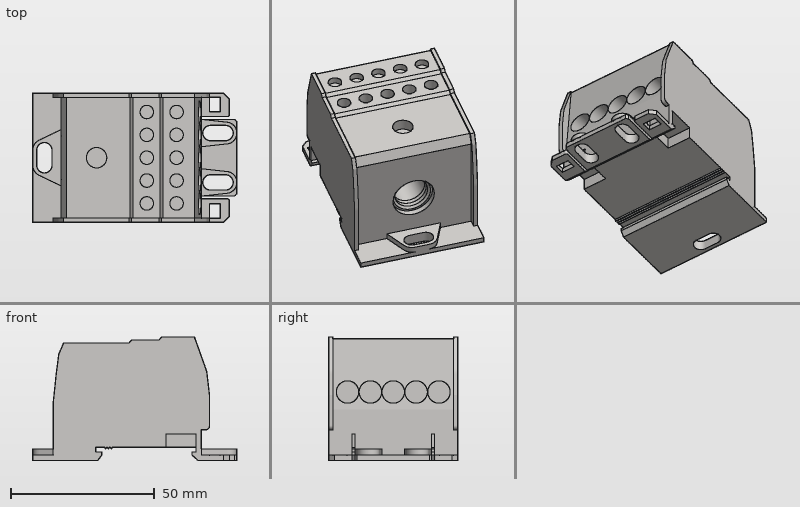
import cadquery as cq
import math

LENGTH = 71.0
WIDTH = 45.0
HEIGHT = 43.0

CHEEK_THICKNESS = 1.5
CORE_WIDTH = WIDTH - 2 * CHEEK_THICKNESS
CORE_DROP = 0.65
STEPS_RISE = 2.05
FRONT_ROOF = HEIGHT - STEPS_RISE
MIDDLE_ROOF = HEIGHT - STEPS_RISE / 2
MIDDLE_STEP_X = 33.5
REAR_STEP_X = 43.95
CHEEK_STEP_RUN = 0.9
CORE_STEP_RUN = 1.15
CORE_STEP_OFFSET = 0.3
SHOULDER_Z = 37.0

FOOT_THICKNESS = 1.9
PAD_TOP = 4.05
RAIL_TOP = 4.55
LIP_TOP = 3.05
RAIL_FRONT = 22.0
POST_FRONT = 56.8
POST_BACK = 58.7
FRONT_HOOK_REACH = 2.05
REAR_HOOK_REACH = 1.4
FRONT_HOOK_RUN = 1.4
REAR_HOOK_RUN = 2.1
TOOTH_START = 25.0
TOOTH_PITCH = 1.0
TOOTH_WIDTH = 0.7
TOOTH_HEIGHT = 0.6
TOOTH_COUNT = 3

CHEEK_FRONT = 7.1
CHEEK_BACK = 61.55
FRONT_BEND_START = (CHEEK_FRONT, 19.9)
FRONT_BEND_MIDDLE = (7.2, 21.0)
FRONT_BEND_END = (7.25, 21.6)
FRONT_FLANK = (8.1, 29.8)
FRONT_SHOULDER = (9.0, SHOULDER_Z)
CHEEK_ROOF_FRONT = 10.7
REAR_BEND_START = (60.3, 31.9)
REAR_BEND_MIDDLE = (60.55, 30.95)
REAR_BEND_END = (60.7, 30.0)
REAR_FLANK_FOOT = 22.7
CHEEK_BOTTOM = 10.65
CHEEK_FILLET = 1.4

CORE_FRONT = 9.9
CORE_ROOF_FRONT = 11.7
ROOF_BACK = 56.3
CORE_BACK_KINK = 17.75

CENTRE_FOOT_HALF = 13.35
SPRING_FOOT_INNER = 14.3
SPRING_FOOT_END = 68.45
SPRING_FOOT_CHAMFER = 2.05
FOOT_CORNER = 0.8
POCKET_FRONT = 46.35
POCKET_TOP = 9.2
WINDOW_FRONT = 61.55
WINDOW_LENGTH = 3.6
WINDOW_WIDTH = 5.0

SLOT_LENGTH = 10.5
SLOT_WIDTH = 5.25
FRONT_SLOT_X = 4.05
FRONT_PAD_TIP_HALF = 5.05
FRONT_PAD_ROOT_HALF = 9.8
FRONT_PAD_FILLET = 3.9
REAR_SLOT_X = 64.5
REAR_SLOT_Y = 8.6
REAR_PAD_TIP_HALF = 3.4
REAR_PAD_ROOT_HALF = CENTRE_FOOT_HALF - REAR_SLOT_Y
REAR_PAD_FILLET = 3.7

SCREW_COLUMNS = 5
SCREW_PITCH = 7.95
SCREW_RADIUS = 2.35
REAR_SCREW_X = 50.05
REAR_SCREW_DEPTH = 2.35
MIDDLE_SCREW_X = 39.7
MAIN_SCREW_X = 22.2
MAIN_SCREW_RADIUS = 3.55
SCREW_DEPTH = 4.05

INLET_Z = 18.0
INLET_RADIUS = 7.5
INLET_DEPTH = 2.1
FUNNEL_RADIUS = 6.8
FUNNEL_LENGTH = 0.7
LIP_RADIUS = 5.95
LIP_LENGTH = 1.55
BORE_RADIUS = 5.8
BORE_CHAMFER = 1.4
BORE_LENGTH = 12.8
DRILL_POINT_ANGLE = 118.0
OUTLET_Z = 23.85
OUTLET_RADIUS = 3.9
OUTLET_DEPTH = 10.65


def extrude_across(outline, width):
    """Extrude an XZ outline symmetrically about Y = 0."""
    return outline.close().extrude(width / 2, both=True)


def block(x_min, x_max, y_min, y_max, z_min, z_max):
    """Axis-aligned box given by its limits."""
    size = (x_max - x_min, y_max - y_min, z_max - z_min)
    return cq.Workplane("XY").box(*size, centered=False).translate((x_min, y_min, z_min))


def full_profile():
    """Side outline of the cheeks, feet and rail recess, extruded over the whole width."""
    outline = (
        cq.Workplane("XZ")
        .moveTo(0, 0)
        .lineTo(0, FOOT_THICKNESS)
        .lineTo(CHEEK_FRONT, FOOT_THICKNESS)
        .lineTo(*FRONT_BEND_START)
        .threePointArc(FRONT_BEND_MIDDLE, FRONT_BEND_END)
        .lineTo(*FRONT_FLANK)
        .lineTo(*FRONT_SHOULDER)
        .lineTo(CHEEK_ROOF_FRONT, FRONT_ROOF)
        .lineTo(MIDDLE_STEP_X, FRONT_ROOF)
        .lineTo(MIDDLE_STEP_X + CHEEK_STEP_RUN, MIDDLE_ROOF)
        .lineTo(REAR_STEP_X, MIDDLE_ROOF)
        .lineTo(REAR_STEP_X + CHEEK_STEP_RUN, HEIGHT)
        .lineTo(ROOF_BACK, HEIGHT)
        .lineTo(*REAR_BEND_START)
        .threePointArc(REAR_BEND_MIDDLE, REAR_BEND_END)
        .lineTo(CHEEK_BACK, REAR_FLANK_FOOT)
        .lineTo(CHEEK_BACK, CHEEK_BOTTOM + CHEEK_FILLET)
        .radiusArc((CHEEK_BACK - CHEEK_FILLET, CHEEK_BOTTOM), CHEEK_FILLET)
        .lineTo(POST_BACK, CHEEK_BOTTOM)
        .lineTo(POST_BACK, FOOT_THICKNESS)
        .lineTo(LENGTH, FOOT_THICKNESS)
        .lineTo(LENGTH, 0)
        .lineTo(POST_FRONT - REAR_HOOK_REACH + REAR_HOOK_RUN, 0)
        .lineTo(POST_FRONT - REAR_HOOK_REACH, FOOT_THICKNESS)
        .lineTo(POST_FRONT - REAR_HOOK_REACH, LIP_TOP)
        .lineTo(POST_FRONT, LIP_TOP)
        .lineTo(POST_FRONT, RAIL_TOP)
    )
    for index in reversed(range(TOOTH_COUNT)):
        tooth_x = TOOTH_START + index * TOOTH_PITCH
        outline = (
            outline.lineTo(tooth_x + TOOTH_WIDTH, RAIL_TOP)
            .lineTo(tooth_x + TOOTH_WIDTH / 2, RAIL_TOP - TOOTH_HEIGHT)
            .lineTo(tooth_x, RAIL_TOP)
        )
    outline = (
        outline.lineTo(RAIL_FRONT, RAIL_TOP)
        .lineTo(RAIL_FRONT, LIP_TOP)
        .lineTo(RAIL_FRONT + FRONT_HOOK_REACH, LIP_TOP)
        .lineTo(RAIL_FRONT + FRONT_HOOK_REACH, FOOT_THICKNESS)
        .lineTo(RAIL_FRONT + FRONT_HOOK_REACH - FRONT_HOOK_RUN, 0)
    )
    return extrude_across(outline, WIDTH)


def core_profile():
    """Side outline of the core above the feet, between the cheeks."""
    middle_step = MIDDLE_STEP_X + CORE_STEP_OFFSET
    rear_step = REAR_STEP_X + CORE_STEP_OFFSET
    outline = (
        cq.Workplane("XZ")
        .moveTo(CORE_FRONT, FOOT_THICKNESS)
        .lineTo(CORE_FRONT, SHOULDER_Z)
        .lineTo(CORE_ROOF_FRONT, FRONT_ROOF - CORE_DROP)
        .lineTo(middle_step, FRONT_ROOF - CORE_DROP)
        .lineTo(middle_step + CORE_STEP_RUN, MIDDLE_ROOF - CORE_DROP)
        .lineTo(rear_step, MIDDLE_ROOF - CORE_DROP)
        .lineTo(rear_step + CORE_STEP_RUN, HEIGHT - CORE_DROP)
        .lineTo(ROOF_BACK, HEIGHT - CORE_DROP)
        .lineTo(POST_BACK, CORE_BACK_KINK)
        .lineTo(POST_BACK, FOOT_THICKNESS)
    )
    return extrude_across(outline, CORE_WIDTH)


def housing():
    """Full-width profile with the space around the core removed between the cheeks."""
    half = CORE_WIDTH / 2
    clearance = block(0, LENGTH, -half, half, FOOT_THICKNESS, HEIGHT).cut(core_profile())
    return full_profile().cut(clearance)


def mirrored(solid):
    """The solid together with its mirror image about Y = 0."""
    return solid.union(solid.mirror("XZ"))


def rear_foot_cuts():
    """Pockets, slits, windows and corner cuts that shape the three rear feet."""
    side = WIDTH / 2
    pocket = block(POCKET_FRONT, POST_FRONT, CENTRE_FOOT_HALF, side, LIP_TOP, POCKET_TOP)
    slit_front = POST_FRONT - REAR_HOOK_REACH
    slit = block(slit_front, LENGTH, CENTRE_FOOT_HALF, SPRING_FOOT_INNER, 0, POCKET_TOP)
    window_outer = CORE_WIDTH / 2
    window_inner = window_outer - WINDOW_WIDTH
    window_back = WINDOW_FRONT + WINDOW_LENGTH
    window = block(WINDOW_FRONT, window_back, window_inner, window_outer, 0, FOOT_THICKNESS)
    spring_foot = block(CHEEK_BACK, SPRING_FOOT_END, SPRING_FOOT_INNER, side, 0, FOOT_THICKNESS)
    spring_foot = spring_foot.edges("|Z and >X and >Y").chamfer(SPRING_FOOT_CHAMFER)
    spring_foot = spring_foot.edges("|Z and >X and <Y").fillet(FOOT_CORNER)
    spring_trim = block(CHEEK_BACK, LENGTH, SPRING_FOOT_INNER, side, 0, FOOT_THICKNESS).cut(spring_foot)
    return mirrored(pocket.union(slit).union(window).union(spring_trim))


def centre_foot_trim():
    """Material outside the bevelled rear corners of the centre foot."""
    blank = block(POST_BACK, LENGTH, -CENTRE_FOOT_HALF, CENTRE_FOOT_HALF, 0, FOOT_THICKNESS)
    return blank.cut(blank.edges("|Z and >X").chamfer(FOOT_CORNER))


def pad(root_x, tip_x, centre_y, root_half, tip_half, fillet):
    """Tapered raised pad with a rounded tip, standing on a foot."""
    outline = [
        (root_x, centre_y - root_half),
        (tip_x, centre_y - tip_half),
        (tip_x, centre_y + tip_half),
        (root_x, centre_y + root_half),
    ]
    tip_edges = ">X" if tip_x > root_x else "<X"
    return (
        cq.Workplane("XY", origin=(0, 0, FOOT_THICKNESS))
        .polyline(outline)
        .close()
        .extrude(PAD_TOP - FOOT_THICKNESS)
        .edges("|Z and " + tip_edges)
        .fillet(fillet)
    )


def mounting_slots():
    """Through slots: one across the front foot and two along the centre rear foot."""
    front = (
        cq.Workplane("XY")
        .center(FRONT_SLOT_X, 0)
        .slot2D(SLOT_LENGTH, SLOT_WIDTH, 90)
        .extrude(PAD_TOP)
    )
    rear = (
        cq.Workplane("XY")
        .pushPoints([(REAR_SLOT_X, -REAR_SLOT_Y), (REAR_SLOT_X, REAR_SLOT_Y)])
        .slot2D(SLOT_LENGTH, SLOT_WIDTH)
        .extrude(PAD_TOP)
    )
    return front.union(rear)


def row_positions():
    """Y positions of one row of outlets or screws."""
    middle = (SCREW_COLUMNS - 1) / 2
    return [(index - middle) * SCREW_PITCH for index in range(SCREW_COLUMNS)]


def screw_holes():
    """Blind clamping screw holes, one large and two rows of small ones."""
    holes = (
        cq.Workplane("XY", origin=(MAIN_SCREW_X, 0, FRONT_ROOF - CORE_DROP))
        .circle(MAIN_SCREW_RADIUS)
        .extrude(-SCREW_DEPTH)
    )
    rows = [
        (MIDDLE_SCREW_X, MIDDLE_ROOF - CORE_DROP, SCREW_DEPTH),
        (REAR_SCREW_X, HEIGHT - CORE_DROP, REAR_SCREW_DEPTH),
    ]
    for row_x, roof_z, depth in rows:
        row = (
            cq.Workplane("XY", origin=(row_x, 0, roof_z))
            .pushPoints([(0, y) for y in row_positions()])
            .circle(SCREW_RADIUS)
            .extrude(-depth)
        )
        holes = holes.union(row)
    return holes


def inlet():
    """Stepped inlet: counterbore, funnel, lip, then a chamfered bore with a drill point."""
    funnel_x = CORE_FRONT + INLET_DEPTH
    lip_x = funnel_x + FUNNEL_LENGTH
    bore_x = lip_x + LIP_LENGTH
    bore_end = bore_x + BORE_LENGTH
    point_length = BORE_RADIUS / math.tan(math.radians(DRILL_POINT_ANGLE / 2))
    half_section = [
        (CORE_FRONT, 0),
        (CORE_FRONT, INLET_RADIUS),
        (funnel_x, INLET_RADIUS),
        (funnel_x, FUNNEL_RADIUS),
        (lip_x, LIP_RADIUS),
        (bore_x, LIP_RADIUS),
        (bore_x, BORE_RADIUS + BORE_CHAMFER),
        (bore_x + BORE_CHAMFER, BORE_RADIUS),
        (bore_end, BORE_RADIUS),
        (bore_end + point_length, 0),
    ]
    return (
        cq.Workplane("XZ", origin=(0, 0, INLET_Z))
        .polyline(half_section)
        .close()
        .revolve(360, (0, 0, 0), (1, 0, 0))
    )


def outlets():
    """Row of blind outlet bores in the leaning rear face."""
    return (
        cq.Workplane("YZ", origin=(POST_BACK, 0, OUTLET_Z))
        .pushPoints([(y, 0) for y in row_positions()])
        .circle(OUTLET_RADIUS)
        .extrude(-OUTLET_DEPTH)
    )


rear_pad = pad(POST_BACK, LENGTH, REAR_SLOT_Y, REAR_PAD_ROOT_HALF, REAR_PAD_TIP_HALF, REAR_PAD_FILLET)
front_pad = pad(CORE_FRONT, 0, 0, FRONT_PAD_ROOT_HALF, FRONT_PAD_TIP_HALF, FRONT_PAD_FILLET)

result = (
    housing()
    .cut(rear_foot_cuts())
    .cut(centre_foot_trim())
    .union(front_pad)
    .union(mirrored(rear_pad))
    .cut(mounting_slots())
    .cut(screw_holes())
    .cut(inlet())
    .cut(outlets())
)